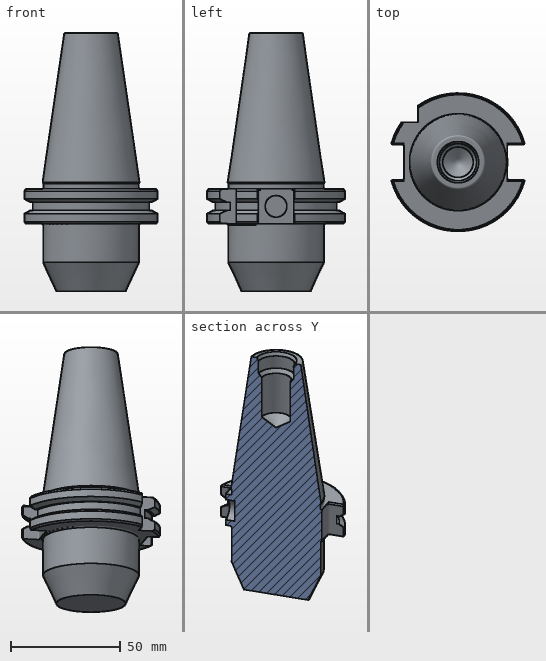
import cadquery as cq
import math

total_height = 118.4
taper_ratio = 7 / 24
gauge_radius = 22.3
gauge_z = 50.1
top_fillet = 0.8
top_radius = gauge_radius - (total_height - gauge_z) * taper_ratio / 2

neck_radius = 21.9
neck_chamfer_height = 0.7
body_radius = 22.0
nose_radius = 15.9
nose_height = 13.3
body_fillet = 0.7
neck_fillet = 0.5

flange_radius = 31.7
flange_bottom_z = 31.0
flange_top_z = 47.0
flange_chamfer = 0.8
flange_top_chamfer_height = 1.2
groove_z = 39.0
groove_floor_radius = 28.0
groove_floor_width = 3.8
groove_flank_radius = 29.0
groove_flank_angle = 30.0

cutter_overrun = 1.2
selection_margin = 0.06

slot_width = 16.1
left_slot_depth_x = 24.7
right_slot_depth_x = 22.6
slot_edge_chamfer = 0.7
slot_floor_fillet = 0.7
notch_x = 18.4
notch_y = 18.4
data_hole_radius = 5.0
data_hole_depth = 4.3

countersink_radius = 9.5
countersink_depth = 1.7
pilot_radius = 8.5
pilot_depth = 7.8
lead_in_depth = 1.9
thread_radius = 7.0
thread_depth = 29.6
drill_tip_angle = 118.0


def revolve_about_z(points):
    return cq.Workplane("XZ").polyline(points).close().revolve(360, (0, 0), (0, 1))


def make_body():
    return revolve_about_z([
        (0, 0),
        (nose_radius, 0),
        (body_radius, nose_height),
        (body_radius, flange_bottom_z),
        (neck_radius, flange_bottom_z),
        (neck_radius, gauge_z - neck_chamfer_height),
        (gauge_radius, gauge_z),
        (top_radius, total_height),
        (0, total_height),
    ]).faces(">Z").edges().fillet(top_fillet)


def make_flange():
    floor_half = groove_floor_width / 2
    flank_height = (flange_radius - groove_flank_radius) * math.tan(math.radians(groove_flank_angle))
    mouth_half = floor_half + flank_height
    return revolve_about_z([
        (0, flange_bottom_z),
        (flange_radius - flange_chamfer, flange_bottom_z),
        (flange_radius, flange_bottom_z + flange_chamfer),
        (flange_radius, groove_z - mouth_half),
        (groove_flank_radius, groove_z - floor_half),
        (groove_floor_radius, groove_z - floor_half),
        (groove_floor_radius, groove_z + floor_half),
        (groove_flank_radius, groove_z + floor_half),
        (flange_radius, groove_z + mouth_half),
        (flange_radius, flange_top_z - flange_top_chamfer_height),
        (flange_radius - flange_chamfer, flange_top_z),
        (0, flange_top_z),
    ])


def flange_cutter(points):
    height = flange_top_z - flange_bottom_z
    return cq.Workplane("XY").workplane(offset=flange_bottom_z).polyline(points).close().extrude(height)


def make_slot(side, floor_x):
    """Drive slot on the +X (side = 1) or -X (side = -1) edge, with its mouth and top edges bevelled."""
    half = slot_width / 2
    chamfer_x = math.sqrt(flange_radius**2 - half**2) - slot_edge_chamfer
    outer_x = flange_radius + cutter_overrun
    outer_half = half + outer_x - chamfer_x
    fillet_x = floor_x + slot_floor_fillet
    fillet_y = half - slot_floor_fillet
    channel = flange_cutter([
        (side * fillet_x, -half),
        (side * chamfer_x, -half),
        (side * outer_x, -outer_half),
        (side * outer_x, outer_half),
        (side * chamfer_x, half),
        (side * fillet_x, half),
        (side * floor_x, fillet_y),
        (side * floor_x, -fillet_y),
    ])
    for y in (-fillet_y, fillet_y):
        channel = channel.union(
            cq.Workplane("XY").workplane(offset=flange_bottom_z)
            .center(side * fillet_x, y)
            .circle(slot_floor_fillet)
            .extrude(flange_top_z - flange_bottom_z)
        )
    top_half = half + slot_edge_chamfer
    bevel_z = flange_top_z - slot_edge_chamfer
    top_bevel = (
        cq.Workplane("YZ").workplane(offset=side * floor_x)
        .polyline([(-half, bevel_z), (-top_half, flange_top_z), (top_half, flange_top_z), (half, bevel_z)])
        .close()
        .extrude(side * (outer_x - floor_x))
    )
    return channel.union(top_bevel)


def make_notch():
    r = flange_radius
    return flange_cutter([(-notch_x, notch_y), (-r, notch_y), (-r, r), (-notch_x, r)])


def make_data_hole():
    start = cq.Workplane("YZ").workplane(offset=-left_slot_depth_x).center(0, groove_z)
    return start.circle(data_hole_radius).extrude(data_hole_depth)


def make_bore():
    tip_height = thread_radius / math.tan(math.radians(drill_tip_angle / 2))
    z = total_height
    return revolve_about_z([
        (0, z),
        (countersink_radius, z),
        (pilot_radius, z - countersink_depth),
        (pilot_radius, z - pilot_depth),
        (thread_radius, z - pilot_depth - lead_in_depth),
        (thread_radius, z - thread_depth),
        (0, z - thread_depth - tip_height),
    ])


def fillet_flange_root(shape, root_radius, z, fillet_radius):
    """Fillets the circle where the cylinder of root_radius meets the flange face at height z."""
    reach = root_radius + selection_margin
    box = cq.selectors.BoxSelector(
        (-reach, -reach, z - selection_margin),
        (reach, reach, z + selection_margin),
        boundingbox=True,
    )
    return shape.edges(box).fillet(fillet_radius)


blank = make_body().union(make_flange())
blank = fillet_flange_root(blank, neck_radius, flange_top_z, neck_fillet)
blank = fillet_flange_root(blank, body_radius, flange_bottom_z, body_fillet)

result = (
    blank
    .cut(make_slot(-1, left_slot_depth_x))
    .cut(make_slot(1, right_slot_depth_x))
    .cut(make_notch())
    .cut(make_data_hole())
    .cut(make_bore())
)